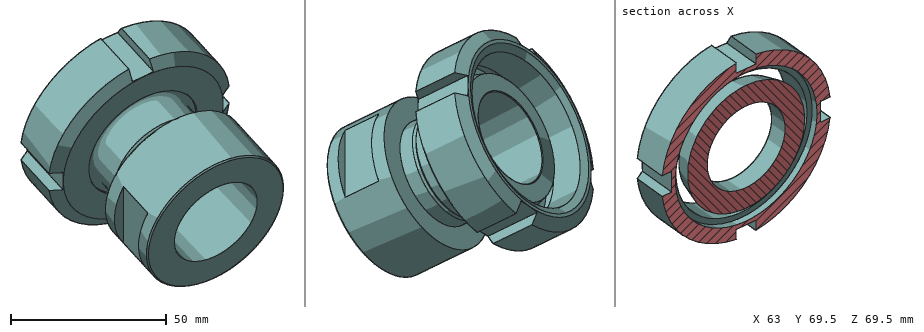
import cadquery as cq
import math

bore_dia = 32.0
neck_dia = 37.0

nut_dia = 70.0
nut_length = 21.0
nut_face_dia = 61.7
nut_chamfer_length = 2.35
nut_bore_dia = 54.2
nut_mouth_dia = 59.25
nut_mouth_depth = 1.45
nut_bore_end = 12.65
nut_relief_dia = 58.4
nut_hole_dia = 42.0
slot_width = 8.0
slot_floor_radius = 30.9
slot_count = 4

collar_dia = 50.0
cone_tip_dia = 44.8
nose_edge = 8.3
nose_rise = 0.35
cone_length = 9.1
collar_back = 20.0
neck_fillet = 2.5
bore_edge_chamfer = 0.3
joint_x = 32.8
joint_bevel_length = 0.75
joint_bevel_depth = 0.75

adapter_dia = 53.0
adapter_start = 38.8
adapter_end = 63.0
adapter_chamfer = 0.5
flat_spacing = 45.9
flat_start = 44.0
flat_length = 14.0

bore_radius = bore_dia / 2
neck_radius = neck_dia / 2
nut_radius = nut_dia / 2
nut_bore_radius = nut_bore_dia / 2
nose_tip = nose_edge - nose_rise
collar_front = nose_edge + cone_length
joint_radius = neck_radius - joint_bevel_depth


def turn(profile):
    """Revolve a closed (x, radius) profile about the X axis."""
    return profile.close().revolve(360, (0, 0, 0), (1, 0, 0))


def make_nut():
    """Chamfered ring with a relief groove behind its bore and open slots around its rim."""
    nut = turn(
        cq.Workplane("XY")
        .moveTo(0, nut_mouth_dia / 2)
        .lineTo(0, nut_face_dia / 2)
        .lineTo(nut_chamfer_length, nut_radius)
        .lineTo(nut_length - nut_chamfer_length, nut_radius)
        .lineTo(nut_length, nut_face_dia / 2)
        .lineTo(nut_length, nut_hole_dia / 2)
        .lineTo(collar_back, nut_hole_dia / 2)
        .lineTo(collar_back, collar_dia / 2)
        .lineTo(collar_front, collar_dia / 2)
        .lineTo(collar_front, nut_relief_dia / 2)
        .lineTo(nut_bore_end, nut_relief_dia / 2)
        .lineTo(nut_bore_end, nut_bore_radius)
        .lineTo(nut_mouth_depth, nut_bore_radius)
    )
    slot = cq.Workplane("XY").box(
        nut_length, slot_width, nut_radius, centered=(False, True, False)
    ).translate((0, 0, slot_floor_radius))
    for index in range(slot_count):
        nut = nut.cut(slot.rotate((0, 0, 0), (1, 0, 0), index * 360 / slot_count))
    return nut


def make_liner():
    """Collar with a conical nose and a filleted neck, bevelled at the joint."""
    fillet_mid = neck_fillet * (1 - math.sqrt(0.5))
    return turn(
        cq.Workplane("XY")
        .moveTo(nose_tip, bore_radius + bore_edge_chamfer)
        .lineTo(nose_edge, cone_tip_dia / 2)
        .lineTo(collar_front, collar_dia / 2)
        .lineTo(collar_back, collar_dia / 2)
        .lineTo(collar_back, neck_radius + neck_fillet)
        .threePointArc(
            (collar_back + fillet_mid, neck_radius + fillet_mid),
            (collar_back + neck_fillet, neck_radius),
        )
        .lineTo(joint_x - joint_bevel_length, neck_radius)
        .lineTo(joint_x, joint_radius)
        .lineTo(joint_x, bore_radius)
        .lineTo(nose_tip + bore_edge_chamfer, bore_radius)
    )


def make_adapter():
    """Bevelled neck and a wide sleeve with two opposite wrench flats."""
    adapter = turn(
        cq.Workplane("XY")
        .moveTo(joint_x, bore_radius)
        .lineTo(joint_x, joint_radius)
        .lineTo(joint_x + joint_bevel_length, neck_radius)
        .lineTo(adapter_start, neck_radius)
        .lineTo(adapter_start, adapter_dia / 2)
        .lineTo(adapter_end - adapter_chamfer, adapter_dia / 2)
        .lineTo(adapter_end, adapter_dia / 2 - adapter_chamfer)
        .lineTo(adapter_end, bore_radius)
    )
    flat = cq.Workplane("XY").box(
        flat_length, adapter_dia, adapter_dia, centered=(False, False, True)
    ).translate((flat_start, flat_spacing / 2, 0))
    return adapter.cut(flat).cut(flat.mirror("XZ"))


nut = make_nut()
liner = make_liner()
adapter = make_adapter()

result = cq.Compound.makeCompound([nut.val(), liner.val(), adapter.val()])